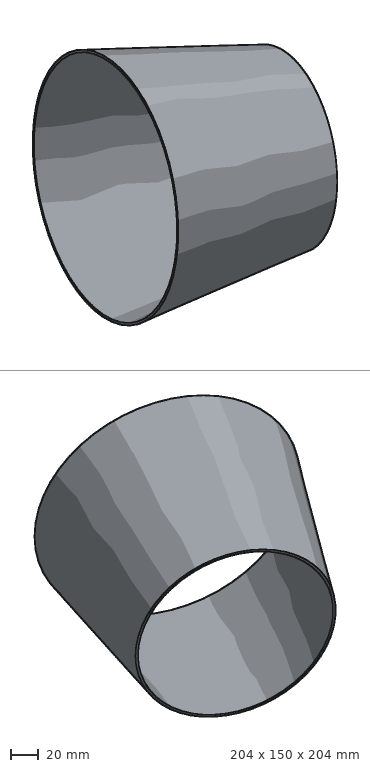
import cadquery as cq

large_diameter = 204.0
small_diameter = 154.0
length = 150.0
wall = 2.0

large_radius = large_diameter / 2
small_radius = small_diameter / 2

wall_section = (
    cq.Workplane("XY")
    .moveTo(large_radius - wall, 0)
    .lineTo(large_radius, 0)
    .lineTo(small_radius, length)
    .lineTo(small_radius - wall, length)
    .close()
)

result = wall_section.revolve(360, (0, 0, 0), (0, 1, 0))